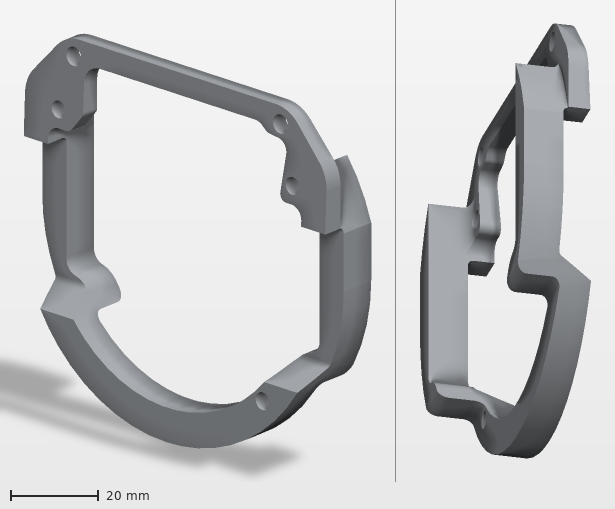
import cadquery as cq
import math


outer_radius = 46.3
top_z = 43.2
corner_drop = 13.2
corner_run = 12.0
corner_radius = 9.3

inner_radius = 38.0
wall_inner_x = 38.9
window_top_z = 37.8
lug_bottom_z = 20.3
window_depth = 55.6

lug_front_top_y = -4.1
lug_front_bottom_y = -5.2
ring_front_top_y = -7.1
ring_front_bottom_y = -7.9
wall_front_y = 1.1
wall_rear_y = 10.5

wall_straight_top_z = 14.2
lug_step_z = 15.75
slope_top_z = -19.45
step_z = -24.2
plate_fillet = 2.1

top_hole_x, top_hole_z, top_hole_diameter = 31.8, 38.7, 4.6
lug_hole_x, lug_hole_z = 35.9, 24.8
ring_hole_x, ring_hole_z = 29.0, -28.9
small_hole_diameter = 4.3


def extrude_along_y(outline, front_y, rear_y):
    """Extrude an XZ outline between two Y positions."""
    return outline.extrude(front_y - rear_y).translate((0, front_y, 0))


def round_edges(solid, direction, corners):
    """Fillet the edge parallel to direction that is nearest to each (point, radius)."""
    for point, radius in corners:
        nearest = cq.selectors.NearestToPointSelector(point)
        edge = solid.edges("|" + direction).edges(nearest)
        solid = edge.fillet(radius)
    return solid


def plate_blank():
    """Round-bottomed outline with sloping top corners."""
    shoulder_z = top_z - corner_drop
    top_x = outer_radius - corner_run
    outline = (
        cq.Workplane("XZ")
        .moveTo(-outer_radius, 0)
        .threePointArc((0, -outer_radius), (outer_radius, 0))
        .lineTo(outer_radius, shoulder_z)
        .lineTo(top_x, top_z)
        .lineTo(-top_x, top_z)
        .lineTo(-outer_radius, shoulder_z)
        .close()
    )
    blank = extrude_along_y(outline, 2 * ring_front_bottom_y, 0)
    middle_y = ring_front_bottom_y
    corners = []
    for side in (-1, 1):
        corners.append(((side * outer_radius, middle_y, shoulder_z), corner_radius))
        corners.append(((side * top_x, middle_y, top_z), corner_radius))
    return round_edges(blank, "Y", corners)


def wall_blank():
    """Outline behind the plate, curving inward until each wall tapers to an edge at its top."""
    arc_radius = math.hypot(outer_radius, wall_straight_top_z)
    outline = (
        cq.Workplane("XZ")
        .moveTo(-outer_radius, 0)
        .threePointArc((0, -outer_radius), (outer_radius, 0))
        .lineTo(outer_radius, wall_straight_top_z)
        .threePointArc((0, arc_radius), (-outer_radius, wall_straight_top_z))
        .close()
    )
    blank = extrude_along_y(outline, 0, wall_rear_y)
    return blank.cut(wall_gap())


def wall_gap():
    """Space between the upper walls, rounded where they blend into the back of the plate."""
    gap = cq.Workplane("XY").box(2 * wall_inner_x, window_depth, outer_radius, (True, False, False))
    return gap.edges("|Z and <Y").fillet(plate_fillet)


def window():
    """Inner opening, with a different lug shape on the left and the right."""
    ledge_x = 33.2
    ledge_z = -math.sqrt(inner_radius**2 - ledge_x**2)
    recess_z = -16.7
    bottom_corners = [
        (wall_inner_x, lug_bottom_z, 3.15),
        (wall_inner_x, recess_z, 3.5),
        (ledge_x, ledge_z, 7.4),
    ]
    left_corners = [(-x, z, radius) for x, z, radius in reversed(bottom_corners)]
    left_corners += [
        (-32.4, lug_bottom_z, 2.3),
        (-28.4, 25.2, 1.85),
        (-28.4, window_top_z, 4.7),
    ]
    right_corners = [
        (25.2, window_top_z, 3.7),
        (27.8, 35.7, 1.85),
        (34.2, 34.9, 3.0),
        (32.0, lug_bottom_z, 1.85),
    ] + bottom_corners
    corners = left_corners + right_corners
    outline = (
        cq.Workplane("XZ")
        .polyline([(x, z) for x, z, radius in corners])
        .threePointArc((0, -inner_radius), (-ledge_x, ledge_z))
        .close()
    )
    opening = extrude_along_y(outline, -window_depth / 2, window_depth / 2)
    return round_edges(opening, "Y", [((x, 0, z), radius) for x, z, radius in corners])


def side_profile():
    """Stepped YZ section that the whole frame follows, extruded across X."""
    section = [
        (lug_front_top_y, top_z),
        (lug_front_bottom_y, lug_step_z),
        (wall_front_y, lug_step_z),
        (wall_front_y, slope_top_z),
        (ring_front_top_y, step_z),
        (ring_front_bottom_y, -outer_radius),
        (0, -outer_radius),
        (0, step_z),
        (wall_rear_y, step_z),
        (wall_rear_y, top_z),
    ]
    profile = cq.Workplane("YZ").polyline(section).close().extrude(outer_radius, both=True)
    corners = [
        ((0, wall_front_y, lug_step_z), 1.3),
        ((0, wall_front_y, slope_top_z), 1.4),
        ((0, 0, step_z), plate_fillet),
        ((0, wall_rear_y, step_z), 2.5),
    ]
    return round_edges(profile, "X", corners)


def hole(x, z, diameter):
    """Cutter for a hole through the part along Y."""
    circle = cq.Workplane("XZ").center(x, z).circle(diameter / 2)
    return extrude_along_y(circle, -window_depth / 2, window_depth / 2)


opening = window()
profile = side_profile()
plate = plate_blank().cut(opening).intersect(profile)
walls = wall_blank().cut(opening).intersect(profile)
frame = plate.union(walls)

for side in (-1, 1):
    frame = frame.cut(hole(side * top_hole_x, top_hole_z, top_hole_diameter))
    frame = frame.cut(hole(side * lug_hole_x, lug_hole_z, small_hole_diameter))
result = frame.cut(hole(ring_hole_x, ring_hole_z, small_hole_diameter))